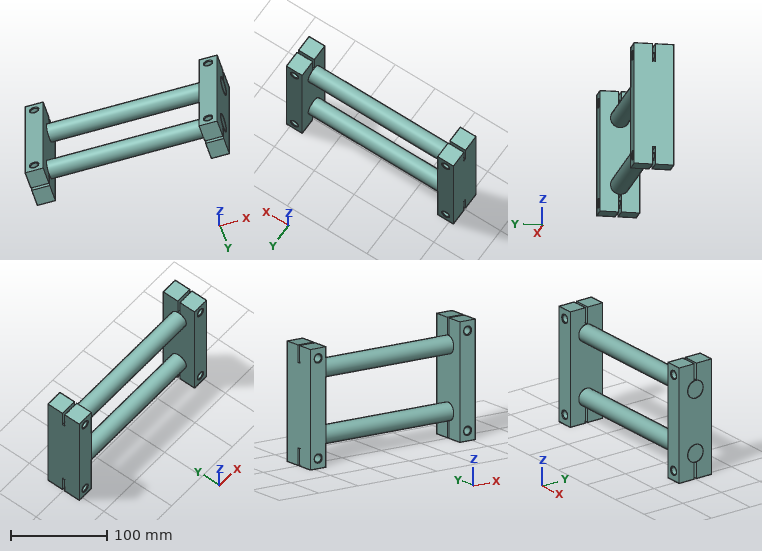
import cadquery as cq

length = 210
width = 42
height = 130.0

block_thickness = 19.7
rod_projection = 0.5
block_span = length - rod_projection

rod_diameter = 20.0
rod_spacing = 72.0

slot_width = 3.0
slot_depth = (height - rod_spacing - rod_diameter) / 2

hole_diameter = 8.5
hole_spacing = 108.0
hole_chamfer = 0.8


def make_block():
    """End block centred on the origin, with its slots and screw holes."""
    block = cq.Workplane("XY").box(block_thickness, width, height)
    slot = cq.Workplane("XY").box(block_thickness, slot_width, slot_depth)
    mouth_radius = hole_diameter / 2 + hole_chamfer
    for side in (-1, 1):
        block = block.cut(slot.translate((0, 0, side * (height - slot_depth) / 2)))
        hole = (
            cq.Workplane("XY")
            .moveTo(0, -width / 2)
            .lineTo(mouth_radius, -width / 2)
            .lineTo(hole_diameter / 2, -width / 2 + hole_chamfer)
            .lineTo(hole_diameter / 2, width / 2 - hole_chamfer)
            .lineTo(mouth_radius, width / 2)
            .lineTo(0, width / 2)
            .close()
            .revolve(360, (0, 0, 0), (0, 1, 0))
        )
        block = block.cut(hole.translate((0, 0, side * hole_spacing / 2)))
    return block


def make_rods():
    """Two parallel rods, from inside the -X block through the +X block."""
    rod_start = block_thickness / 2
    return (
        cq.Workplane("YZ", origin=(rod_start - length / 2, 0, 0))
        .pushPoints([(0, -rod_spacing / 2), (0, rod_spacing / 2)])
        .circle(rod_diameter / 2)
        .extrude(length - rod_start)
    )


left_block_x = (block_thickness - length) / 2
right_block_x = left_block_x + block_span - block_thickness

block = make_block()
result = make_rods()
for block_x in (left_block_x, right_block_x):
    result = result.union(block.translate((block_x, 0, 0)))